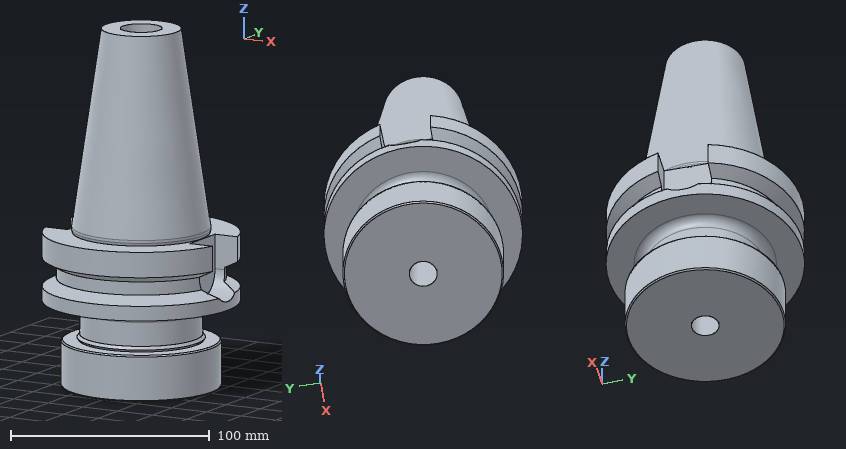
import cadquery as cq

total_height = 183.8
nut_height = 23.9
collar_step_z = 25.0
neck_bottom_z = 26.7
flange_bottom_z = 43.7
lower_rim_z = 51.3
groove_bottom_z = 55.5
groove_top_z = 62.3
upper_rim_z = 66.0
flange_top_z = 79.0
gauge_band_z = 80.5
gauge_z = 82.0

flange_radius = 50.0
groove_radius = 42.8
nut_radius = 40.5
neck_radius = 31.0
collar_radius = 32.3
collar_foot_radius = 31.6
gauge_radius = 35.1
relief_radius = 34.7
neck_fillet = 4.8
nut_chamfer = 0.7

taper_per_side = 7 / 48
tip_radius = gauge_radius - (total_height - gauge_z) * taper_per_side

through_radius = 7.0
bore_radius = 10.5
bore_depth = 55.1

slot_width = 26.0
slot_bottom_z = 48.3
slot_floor_x = 35.3
slot_overrun = 1.8


def turned_body():
    """Nut, neck, grooved flange and taper as one revolved solid."""
    profile = (
        cq.Workplane("XZ")
        .lineTo(nut_radius - nut_chamfer, 0)
        .lineTo(nut_radius, nut_chamfer)
        .lineTo(nut_radius, nut_height - nut_chamfer)
        .lineTo(nut_radius - nut_chamfer, nut_height)
        .lineTo(collar_foot_radius, nut_height)
        .lineTo(collar_radius, collar_step_z)
        .lineTo(neck_radius, neck_bottom_z)
        .lineTo(neck_radius, flange_bottom_z - neck_fillet)
        .radiusArc((neck_radius + neck_fillet, flange_bottom_z), neck_fillet)
        .lineTo(flange_radius, flange_bottom_z)
        .lineTo(flange_radius, lower_rim_z)
        .lineTo(groove_radius, groove_bottom_z)
        .lineTo(groove_radius, groove_top_z)
        .lineTo(flange_radius, upper_rim_z)
        .lineTo(flange_radius, flange_top_z)
        .lineTo(relief_radius, flange_top_z)
        .lineTo(gauge_radius, gauge_band_z)
        .lineTo(gauge_radius, gauge_z)
        .lineTo(tip_radius, total_height)
        .lineTo(0, total_height)
        .close()
    )
    return profile.revolve(360, (0, 0, 0), (0, 1, 0))


def stepped_bore():
    """Through hole with a wider bore at the taper end."""
    through = cq.Workplane("XY").circle(through_radius).extrude(total_height)
    wide = cq.Workplane("XY").workplane(offset=total_height).circle(bore_radius).extrude(-bore_depth)
    return through.union(wide)


def drive_slot():
    """Round-bottomed slot cutter on the +X side, open to the flange top."""
    half_width = slot_width / 2
    arc_center_z = slot_bottom_z + half_width
    return (
        cq.Workplane("YZ")
        .workplane(offset=slot_floor_x)
        .moveTo(-half_width, flange_top_z)
        .lineTo(-half_width, arc_center_z)
        .threePointArc((0, slot_bottom_z), (half_width, arc_center_z))
        .lineTo(half_width, flange_top_z)
        .close()
        .extrude(flange_radius - slot_floor_x + slot_overrun)
    )


result = turned_body().cut(stepped_bore())
for angle in (0, 180):
    result = result.cut(drive_slot().rotate((0, 0, 0), (0, 0, 1), angle))